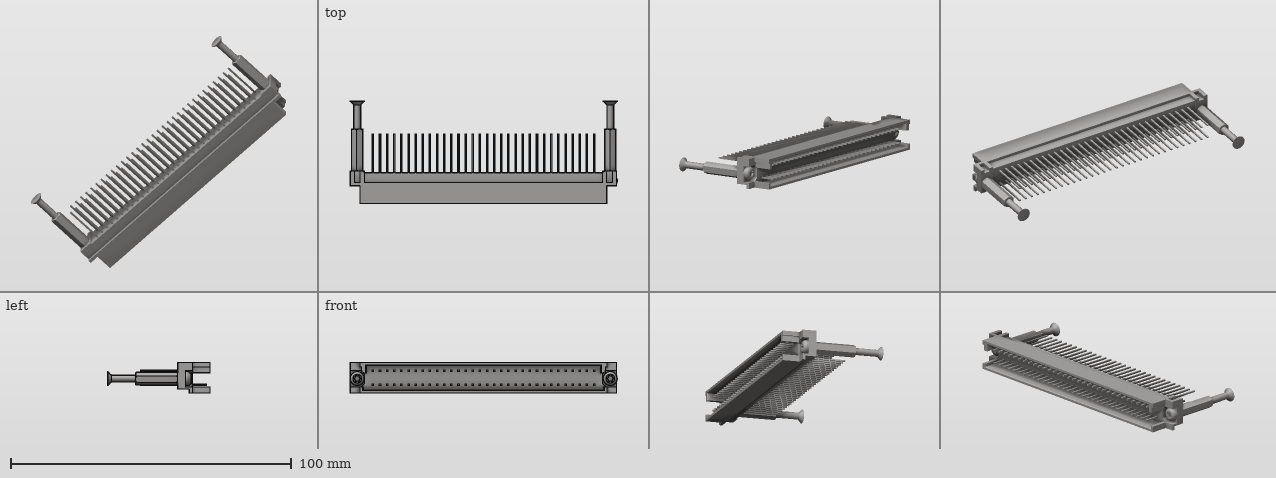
import cadquery as cq
import math


LENGTH = 94.85
HEIGHT = 10.9
FLANGE_FRONT = 6.3
FLANGE_BACK = 7.4
BODY_BACK = 11.0
EAR_BACK = 11.5
EAR_WIDTH = 5.0
BODY_BASE = 1.4
BODY_TOP = HEIGHT - 1.1

SHROUD_LENGTH = 87.9
KEY_STEP = 0.6
KEY_STEP_Z = 9.3
UPPER_END_Z = 7.2
LOWER_END_Z = 2.2
WALL = 1.15
END_WALL = 1.25
UPPER_CAVITY_LENGTH = 83.4
LOWER_CAVITY_LENGTH = SHROUD_LENGTH - 2 * END_WALL
MOUTH_CHAMFER = 0.3

PIN_COUNT = 32
PIN_PITCH = 2.54
PIN_SIZE = 0.55
PIN_MIDDLE_Z = 5.45
PIN_ROWS = (PIN_MIDDLE_Z - PIN_PITCH, PIN_MIDDLE_Z + PIN_PITCH)
PIN_FRONT = 1.2
PIN_BACK = 24.8

FASTENER_Z = 5.15
LEFT_X = -44.925
RIGHT_X = 45.125
THREAD = 2.5
POCKET_FLOOR = 8.65
POCKET_BOTTOM = LOWER_END_Z
POCKET_TOP = 8.1
POCKET_WIDTH = 5.05
POCKET_CHAMFER = 1.2
SLOT_WIDTH = 2.1
SLOT_DEPTH = 1.4
SLOT_CENTRE = 2.5

PAN_DIAMETER = 5.0
PAN_RIM = 0.85
PAN_HEIGHT = 1.9
PAN_FACE_DIAMETER = 3.1
PAN_CROWN_BULGE = 0.15
PAN_LENGTH = 8.0
SOCKET_DIAMETER = 2.3
SOCKET_DEPTH = 0.9
SOCKET_LOBES = 6
SOCKET_LOBE_RADIUS = 0.3

HEX_SIDES = 6
HEX_ACROSS_FLATS = 4.0
HEX_LENGTH = 15.0
HEX_BACK = EAR_BACK + HEX_LENGTH
HEX_ANGLE = 30.0
LEFT_HEX_TURN = -6.0
RIGHT_HEX_TURN = -2.0

TOTAL_DEPTH = 36.5
SINK_DIAMETER = 5.0
SINK_RIM = 0.1
SINK_LENGTH = 16.0


def box(x0, x1, y0, y1, z0, z1):
    """Block between two corners."""
    return cq.Workplane("XY").box(x1 - x0, y1 - y0, z1 - z0, centered=False).translate((x0, y0, z0))


def centred_box(width, y0, y1, z0, z1):
    """Block symmetric about X = 0."""
    return box(-width / 2, width / 2, y0, y1, z0, z1)


def rod(diameter, y0, y1, x):
    """Cylinder along Y on a fastening axis."""
    return cq.Workplane("XZ", origin=(x, y0, FASTENER_Z)).circle(diameter / 2).extrude(y0 - y1)


def turned(profile, x):
    """Revolve a profile of (radius, Y) around a fastening axis."""
    return profile.close().revolve(360, (0, 0, 0), (0, 1, 0)).translate((x, 0, FASTENER_Z))


def make_shroud():
    upper_length = SHROUD_LENGTH - 2 * KEY_STEP
    shroud = centred_box(SHROUD_LENGTH, 0, FLANGE_FRONT, KEY_STEP_Z, HEIGHT)
    shroud = shroud.union(centred_box(upper_length, 0, FLANGE_FRONT, UPPER_END_Z, KEY_STEP_Z))
    shroud = shroud.union(centred_box(SHROUD_LENGTH, 0, FLANGE_FRONT, 0, LOWER_END_Z))
    upper_cavity = make_cavity(UPPER_CAVITY_LENGTH, UPPER_END_Z, HEIGHT - WALL)
    lower_cavity = make_cavity(LOWER_CAVITY_LENGTH, WALL, LOWER_END_Z)
    return shroud.cut(upper_cavity).cut(lower_cavity)


def make_cavity(length, z0, z1):
    """Half of the cavity, widened at 45 degrees at the mouth."""
    mouth_length = length + 2 * MOUTH_CHAMFER
    mouth_height = z1 - z0 + 2 * MOUTH_CHAMFER
    mouth = cq.Workplane("XZ", origin=(0, 0, (z0 + z1) / 2)).rect(mouth_length, mouth_height)
    mouth = mouth.extrude(-MOUTH_CHAMFER, taper=45)
    return centred_box(length, 0, FLANGE_FRONT, z0, z1).union(mouth)


def make_ear_cutter():
    """Everything removed from the left ear, apart from the screw hole."""
    end = -LENGTH / 2
    inner_x = end + POCKET_WIDTH
    outer_x = end - POCKET_WIDTH
    pocket = box(outer_x, inner_x, FLANGE_FRONT, POCKET_FLOOR, POCKET_BOTTOM, POCKET_TOP)
    pocket = pocket.edges("|Y").chamfer(POCKET_CHAMFER)
    slot_left = end + SLOT_CENTRE - SLOT_WIDTH / 2
    slot = box(slot_left, slot_left + SLOT_WIDTH, FLANGE_BACK, EAR_BACK, HEIGHT - SLOT_DEPTH, HEIGHT)
    return pocket.union(slot)


def make_connector():
    body = centred_box(LENGTH, FLANGE_FRONT, FLANGE_BACK, 0, HEIGHT)
    inner_length = LENGTH - 2 * EAR_WIDTH
    body = body.union(centred_box(inner_length, FLANGE_BACK, BODY_BACK, BODY_BASE, BODY_TOP))
    ear = box(-LENGTH / 2, -LENGTH / 2 + EAR_WIDTH, FLANGE_BACK, EAR_BACK, BODY_BASE, HEIGHT)
    body = body.union(ear).union(ear.mirror("YZ"))
    body = body.union(make_shroud())
    ear_cutter = make_ear_cutter()
    body = body.cut(ear_cutter).cut(ear_cutter.mirror("YZ"))
    for x in (LEFT_X, RIGHT_X):
        body = body.cut(rod(THREAD, FLANGE_FRONT, EAR_BACK, x))
    pins = cq.Workplane("XY")
    half = PIN_SIZE / 2
    first_x = -PIN_PITCH * (PIN_COUNT - 1) / 2
    for row_z in PIN_ROWS:
        for i in range(PIN_COUNT):
            x = first_x + i * PIN_PITCH
            pins = pins.add(box(x - half, x + half, PIN_FRONT, PIN_BACK, row_z - half, row_z + half))
    return body.union(pins.combine(glue=True))


def make_pan_screw(x):
    rim_radius = PAN_DIAMETER / 2
    face_radius = PAN_FACE_DIAMETER / 2
    rim_y = POCKET_FLOOR - PAN_RIM
    face_y = POCKET_FLOOR - PAN_HEIGHT
    crown_radius = (rim_radius + face_radius) / 2 + PAN_CROWN_BULGE
    crown_y = (rim_y + face_y) / 2 - PAN_CROWN_BULGE
    head = (
        cq.Workplane("XY")
        .moveTo(0, POCKET_FLOOR)
        .lineTo(rim_radius, POCKET_FLOOR)
        .lineTo(rim_radius, rim_y)
        .threePointArc((crown_radius, crown_y), (face_radius, face_y))
        .lineTo(0, face_y)
    )
    screw = turned(head, x)
    screw = screw.union(rod(THREAD, POCKET_FLOOR, POCKET_FLOOR + PAN_LENGTH, x))
    lobe_circle = SOCKET_DIAMETER / 2 - SOCKET_LOBE_RADIUS
    socket = rod(2 * lobe_circle, face_y, face_y + SOCKET_DEPTH, x)
    for i in range(SOCKET_LOBES):
        angle = 2 * math.pi * i / SOCKET_LOBES
        offset = (lobe_circle * math.cos(angle), 0, lobe_circle * math.sin(angle))
        lobe = rod(2 * SOCKET_LOBE_RADIUS, face_y, face_y + SOCKET_DEPTH, x)
        socket = socket.union(lobe.translate(offset))
    return screw.cut(socket)


def make_standoff(x, turn):
    across_corners = HEX_ACROSS_FLATS / math.cos(math.pi / HEX_SIDES)
    bar = cq.Workplane("XZ", origin=(x, EAR_BACK, FASTENER_Z)).polygon(HEX_SIDES, across_corners)
    bar = bar.extrude(-HEX_LENGTH)
    axis_end = (x, 1, FASTENER_Z)
    bar = bar.rotate((x, 0, FASTENER_Z), axis_end, HEX_ANGLE + turn)
    face_radius = HEX_ACROSS_FLATS / 2
    corner_radius = across_corners / 2
    corner_drop = corner_radius - face_radius
    envelope = (
        cq.Workplane("XY")
        .moveTo(0, EAR_BACK)
        .lineTo(face_radius, EAR_BACK)
        .lineTo(corner_radius, EAR_BACK + corner_drop)
        .lineTo(corner_radius, HEX_BACK - corner_drop)
        .lineTo(face_radius, HEX_BACK)
        .lineTo(0, HEX_BACK)
    )
    bar = bar.intersect(turned(envelope, x))
    bar = bar.cut(rod(THREAD, EAR_BACK, POCKET_FLOOR + PAN_LENGTH, x))
    return bar.cut(rod(THREAD, TOTAL_DEPTH - SINK_LENGTH, HEX_BACK, x))


def make_countersunk_screw(x):
    shank_radius = THREAD / 2
    head_radius = SINK_DIAMETER / 2
    rim_y = TOTAL_DEPTH - SINK_RIM
    cone_y = rim_y - (head_radius - shank_radius)
    profile = (
        cq.Workplane("XY")
        .moveTo(0, TOTAL_DEPTH - SINK_LENGTH)
        .lineTo(shank_radius, TOTAL_DEPTH - SINK_LENGTH)
        .lineTo(shank_radius, cone_y)
        .lineTo(head_radius, rim_y)
        .lineTo(head_radius, TOTAL_DEPTH)
        .lineTo(0, TOTAL_DEPTH)
    )
    return turned(profile, x)


connector = make_connector()
pan_screws = [make_pan_screw(x) for x in (LEFT_X, RIGHT_X)]
standoffs = [make_standoff(LEFT_X, LEFT_HEX_TURN), make_standoff(RIGHT_X, RIGHT_HEX_TURN)]
countersunk_screws = [make_countersunk_screw(x) for x in (LEFT_X, RIGHT_X)]

fasteners = pan_screws + standoffs + countersunk_screws
result = cq.Compound.makeCompound([connector.val()] + [fastener.val() for fastener in fasteners])